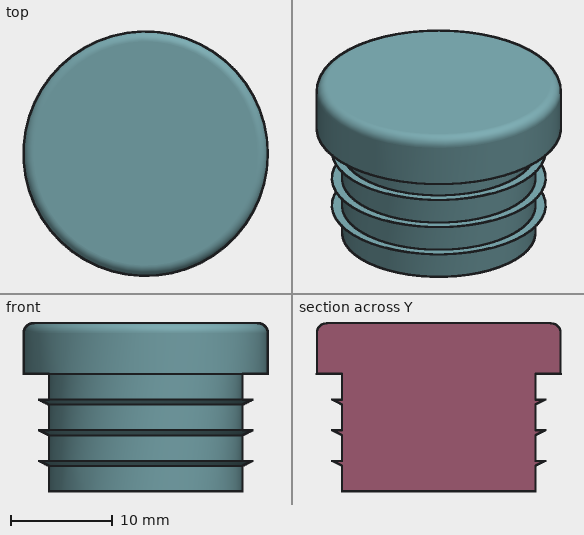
import cadquery as cq

head_diameter = 24.0
head_height = 5.0
head_edge_radius = 1.0
total_height = 16.5
stem_diameter = 19.0
stem_height = total_height - head_height

fin_diameter = 21.0
fin_height = 0.5
fin_count = 3
fin_pitch = 3.0


def make_head():
    """Disc with a rounded upper edge, sitting on top of the stem."""
    disc = cq.Workplane("XY").workplane(offset=stem_height).circle(head_diameter / 2).extrude(head_height)
    return disc.faces(">Z").edges().fillet(head_edge_radius)


def make_fin(top_z):
    """Sharp-edged fin: conical underside rising from the stem to a flat top."""
    return (
        cq.Workplane("XY")
        .workplane(offset=top_z - fin_height)
        .circle(stem_diameter / 2)
        .workplane(offset=fin_height)
        .circle(fin_diameter / 2)
        .loft(combine=True)
    )


stem = cq.Workplane("XY").circle(stem_diameter / 2).extrude(stem_height)
result = stem.union(make_head())
for fin_number in range(1, fin_count + 1):
    result = result.union(make_fin(fin_number * fin_pitch))